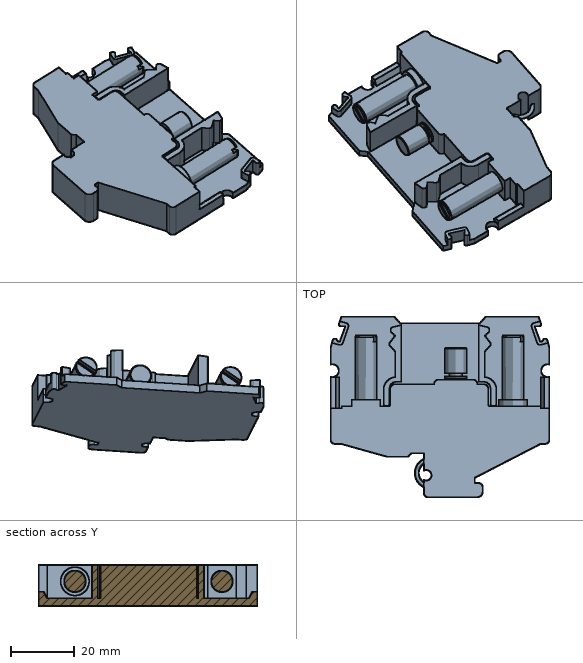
import cadquery as cq
import math

length = 69.0
depth = 57.0
height = 13.0
half_length = length / 2

plate_height = 2.55
plate_bottom_y = 26.8
plate_mid_y = 55.0
plate_side_top_y = 47.25
plate_peak_outer_x = -31.1
plate_peak_inner_x = -14.4
plate_dip_x = -12.55
clip_corner_radius = 1.0
clip_height = 5.5
shelf_height = 4.55
shelf_width = 1.6
shelf_slope_width = 1.1
shelf_foot_x = half_length - shelf_width - shelf_slope_width
side_notch_diameter = 4.0
side_notch_center = (-33.95, 39.95)

block_side_y = 28.15
block_front_y = 28.8
block_mid_y = 35.75
block_bump_y = 37.1
corner_y = 16.85
corner_radius = 1.4
side_flat_left_x = -31.2
side_flat_right_x = 31.75
left_step_x = -31.05
belly_y = 12.75
belly_left_x = -16.6
belly_right_x = -10.15
recess_x = -9.0
recess_y = 13.9
foot_left_x = -5.1
lobe_x = 13.5
lobe_top_y = 4.55
lobe_top_radius = 1.4
lobe_bottom_radius = 1.9
groove_x = 11.0
groove_top_y = 6.15
groove_radius = 0.35
bay_left_x = -15.7
bay_right_x = 15.25
bay_radius = 1.65
bump_left_x = -1.8
bump_right_x = 11.7
bump_radius = 1.25
foot_notch_diameter = 3.25
foot_notch_center = (-4.35, 7.0)
box_top_y = 30.85
box_left_x = -27.9
box_right_x = -18.85

wall_thickness = 1.85
wall_inner_x = -12.15
wall_leg_x = -15.95
wall_step_y = 37.95
wall_ledge_y = 36.4
wall_outer_x = wall_leg_x - wall_thickness
wall_face_x = -14.15
wall_end_y = 28.9
wall_top_y = 54.4
tooth_root_low_y = 46.0
tooth_root_high_y = 51.0
tooth_radius = 0.75
nose_bottom_y = 52.3
nose_radius = 0.9
leg_end_radius = 0.4
wall_bend_radius = 4.1
wall_inner_radius = 2.15

screw_diameter = 6.8
screw_z = 7.8
screw_end_y = 51.05
screw_left_x = -23.3
screw_right_x = 23.05
screw_tip_length = 0.55
screw_tip_inset = 0.2
screw_slot_width = 1.25
screw_slot_depth = 1.9
screw_slot_angle = 33.0
collar_diameter = 9.0

middle_screw_x = 5.0
middle_screw_end_y = 47.1
middle_head_y = 39.1
washer_top_y = 38.15
washer_bottom_y = 37.55
neck_diameter = 4.0

ring_wire_diameter = 1.3
ring_radius = 4.2
ring_center = (-3.1, 7.65, 6.7)
ring_tilt = 1.0


def mirror_x(shape):
    """Join a shape with its mirror image across X = 0."""
    return shape.union(shape.mirror("YZ"))


def fillet_at(shape, points, radius):
    """Round the upright edges that pass through the given XY points."""
    reach = 0.035
    for x, y in points:
        low = (x - reach, y - reach, 0)
        high = (x + reach, y + reach, height)
        shape = shape.edges("|Z").edges(cq.selectors.BoxSelector(low, high)).fillet(radius)
    return shape


def cylinder_y(diameter, x, start_y, end_y):
    """Cylinder along Y on the height of the screw axes."""
    plane = cq.Plane(origin=(x, start_y, screw_z), xDir=(1, 0, 0), normal=(0, 1, 0))
    return cq.Workplane(plane).circle(diameter / 2).extrude(end_y - start_y)


def round_notch(center, diameter):
    """Upright cylinder used to cut a round notch."""
    return cq.Workplane("XY").center(*center).circle(diameter / 2).extrude(height)


def half_plate(thickness):
    """Left half of the base plate outline, with the two hooks of the clip."""
    return (
        cq.Workplane("XY")
        .moveTo(0, plate_bottom_y)
        .lineTo(-half_length, plate_bottom_y)
        .lineTo(-half_length, plate_side_top_y)
        .lineTo(-33.9, 49.55)
        .threePointArc((-33.2, 50.1), (-32.6, 49.8))
        .threePointArc((-32.3, 49.4), (-31.7, 49.05))
        .lineTo(-29.9, 53.95)
        .lineTo(-31.25, 53.95)
        .threePointArc((-31.8, 54.2), (-31.9, 54.8))
        .lineTo(plate_peak_outer_x, depth)
        .lineTo(plate_peak_inner_x, depth)
        .lineTo(plate_dip_x, plate_mid_y)
        .lineTo(0, plate_mid_y)
        .close()
        .extrude(thickness)
    )


def clip():
    """Raised strip that follows the hooked edge of the plate."""
    top_corner = (-28.6, 54.7)
    bottom_corner = (-30.9, 47.9)
    strip = (
        cq.Workplane("XY")
        .polyline([(-32.4, 55.75), top_corner, bottom_corner, (-half_length, 48.85), (-half_length, 55.75)])
        .close()
        .extrude(clip_height)
    )
    strip = fillet_at(strip, [top_corner, bottom_corner], clip_corner_radius)
    return strip.intersect(half_plate(clip_height))


def shelf():
    """Ledge on the side edge, sloping down to the plate."""
    shelf_top_y = side_notch_center[1] - side_notch_diameter / 2
    return (
        cq.Workplane("XZ", origin=(0, shelf_top_y, 0))
        .polyline([
            (-half_length, 0),
            (-half_length, shelf_height),
            (shelf_width - half_length, shelf_height),
            (-shelf_foot_x, plate_height),
            (-shelf_foot_x, 0),
        ])
        .close()
        .extrude(shelf_top_y - block_side_y)
    )


def wall():
    """Left wall of the middle bay, with a toothed outer face and a bent leg."""
    leg_corner = (wall_leg_x, wall_ledge_y)
    leg_end_corners = [(wall_outer_x, wall_end_y), (wall_leg_x, wall_end_y)]
    tooth_tip = (-16.2, 48.3)
    nose_corner = (-15.6, 53.55)
    bend_center_x = wall_outer_x + wall_bend_radius
    bend_end_rise = math.sqrt(wall_bend_radius**2 - (wall_face_x - bend_center_x) ** 2)
    bend_center_y = wall_step_y - bend_end_rise
    bend_mid_offset = wall_bend_radius * math.sqrt(0.5)
    body = (
        cq.Workplane("XY")
        .moveTo(wall_inner_x, wall_top_y)
        .lineTo(wall_inner_x, leg_corner[1])
        .lineTo(*leg_corner)
        .lineTo(*leg_end_corners[1])
        .lineTo(*leg_end_corners[0])
        .lineTo(wall_outer_x, bend_center_y)
        .threePointArc(
            (bend_center_x - bend_mid_offset, bend_center_y + bend_mid_offset),
            (wall_face_x, wall_step_y),
        )
        .lineTo(wall_face_x, tooth_root_low_y)
        .lineTo(*tooth_tip)
        .lineTo(wall_face_x, tooth_root_high_y)
        .lineTo(nose_corner[0], nose_bottom_y)
        .lineTo(*nose_corner)
        .close()
        .extrude(height)
    )
    body = fillet_at(body, [nose_corner], nose_radius)
    body = fillet_at(body, [tooth_tip], tooth_radius)
    body = fillet_at(body, [leg_corner], wall_inner_radius)
    return fillet_at(body, leg_end_corners, leg_end_radius)


def block():
    """Full-height body with the rail foot below."""
    side_corners = [(-half_length, corner_y), (half_length, corner_y)]
    foot_corner = (foot_left_x, 0)
    groove_corner = (groove_x, lobe_top_y)
    lobe_corners = [(lobe_x, lobe_top_y), (lobe_x, 0)]
    bay_left = (bay_left_x, block_mid_y)
    bay_right = (bay_right_x, block_mid_y)
    bay_feet = [(bay_left_x, block_front_y), (bay_right_x, block_front_y)]
    bump_corners = [(bump_left_x, block_bump_y), (bump_right_x, block_bump_y)]
    body = (
        cq.Workplane("XY")
        .polyline([
            (-half_length, block_side_y),
            side_corners[0],
            (side_flat_left_x, corner_y),
            (belly_left_x, belly_y),
            (belly_right_x, belly_y),
            (recess_x, recess_y),
            (foot_left_x, recess_y),
            foot_corner,
            lobe_corners[1],
            lobe_corners[0],
            groove_corner,
            (groove_x, groove_top_y),
            (side_flat_right_x, corner_y),
            side_corners[1],
            (half_length, block_side_y),
            (shelf_foot_x, block_side_y),
            (shelf_foot_x, block_front_y),
            bay_feet[1],
            bay_right,
            (bump_right_x, block_mid_y),
            bump_corners[1],
            bump_corners[0],
            (bump_left_x, block_mid_y),
            bay_left,
            bay_feet[0],
            (box_right_x, block_front_y),
            (box_right_x, box_top_y),
            (box_left_x, box_top_y),
            (box_left_x, block_front_y),
            (left_step_x, block_front_y),
            (left_step_x, block_side_y),
        ])
        .close()
        .extrude(height)
    )
    body = fillet_at(body, side_corners + [foot_corner], corner_radius)
    body = fillet_at(body, lobe_corners[:1], lobe_top_radius)
    body = fillet_at(body, lobe_corners[1:], lobe_bottom_radius)
    body = fillet_at(body, [groove_corner], groove_radius)
    body = fillet_at(body, [bay_left, bay_right], bay_radius)
    body = fillet_at(body, bump_corners, bump_radius)
    body = fillet_at(body, bay_feet, leg_end_radius)
    return body.cut(round_notch(foot_notch_center, foot_notch_diameter))


def terminal_screw(x):
    """Long screw with a chamfered, slotted end."""
    rod = cylinder_y(screw_diameter, x, block_front_y, screw_end_y)
    rod = rod.faces(">Y").chamfer(screw_tip_length, screw_tip_inset)
    slot = (
        cq.Workplane("XY")
        .box(2 * screw_diameter, 2 * screw_slot_depth, screw_slot_width)
        .rotate((0, 0, 0), (0, 1, 0), -screw_slot_angle)
        .translate((x, screw_end_y, screw_z))
    )
    return rod.cut(slot)


def middle_screw():
    """Short screw: head, neck and washer."""
    head = cylinder_y(screw_diameter, middle_screw_x, middle_head_y, middle_screw_end_y)
    head = head.faces(">Y").chamfer(screw_tip_inset)
    neck = cylinder_y(neck_diameter, middle_screw_x, block_mid_y, middle_head_y)
    washer = cylinder_y(screw_diameter, middle_screw_x, washer_bottom_y, washer_top_y)
    return head.union(neck).union(washer)


def wire_ring():
    """Slightly tilted ring, partly buried in the foot."""
    ring = cq.Solid.makeTorus(ring_radius, ring_wire_diameter / 2)
    return cq.Workplane(ring).rotate((0, 0, 0), (1, 0, 0), ring_tilt).translate(ring_center)


plate = half_plate(plate_height).union(clip())
plate = plate.cut(round_notch(side_notch_center, side_notch_diameter))
plate = plate.union(shelf()).union(wall())

result = mirror_x(plate).union(block())
result = result.union(terminal_screw(screw_left_x)).union(terminal_screw(screw_right_x))
result = result.union(cylinder_y(collar_diameter, screw_right_x, block_front_y, box_top_y))
result = result.union(middle_screw())
result = result.union(wire_ring())